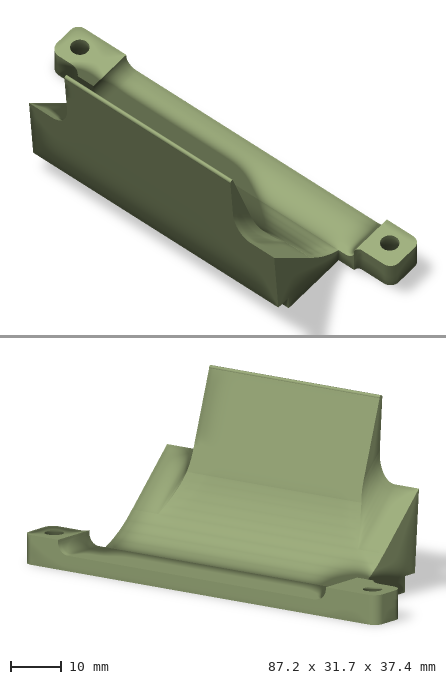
import cadquery as cq
import math

length = 87.2
plate_depth = 10.2
plate_height = 6.0
left_tab_depth = 8.6
right_tab_depth = 9.15
left_back_radius = 1.9
left_front_radius = 2.4
right_corner_radius = 2.1
left_relief_start = 5.6
left_relief_end = 8.5
right_relief_radius = 1.05
hole_diameter = 3.8
hole_back_offset = 4.3
hole_left = 4.2
hole_right = 82.7

channel_floor = 3.1
channel_left = 12.5
channel_right = 78.5
channel_left_radius = 2.6
channel_right_radius = 2.35

body_left = 12.5
body_width = 62.1
body_center = body_left + body_width / 2
foot_depth = 25.8
step_height = 3.3
step_depth = 29.0
curve_mid = (-18.9, 9.15)
curve_end = (-24.15, 17.1)
tip_back = (-30.8, 36.9)
tip_top = (-31.3, 37.4)
tip_front = (-31.65, 36.8)

tower_width = 42.0
notch_front_height = 20.1
notch_angle = 44.0
notch_radius = 4.1
notch_height = 26.2
notch_side_margin = 4.4
notch_overrun = 26.2


def make_plate():
    """Plate with rounded tabs and concave reliefs beside both tabs."""
    relief_run = left_relief_end - left_relief_start
    relief_rise = plate_depth - left_tab_depth
    relief_radius = (relief_run**2 + relief_rise**2) / (2 * relief_rise)
    right_relief_end = channel_right + right_relief_radius
    outline = (
        cq.Workplane("XY")
        .moveTo(left_back_radius, 0)
        .lineTo(length - right_corner_radius, 0)
        .radiusArc((length, -right_corner_radius), right_corner_radius)
        .lineTo(length, right_corner_radius - right_tab_depth)
        .radiusArc((length - right_corner_radius, -right_tab_depth), right_corner_radius)
        .lineTo(right_relief_end, -right_tab_depth)
        .radiusArc((channel_right, -plate_depth), -right_relief_radius)
        .lineTo(left_relief_end, -plate_depth)
        .radiusArc((left_relief_start, -left_tab_depth), -relief_radius)
        .lineTo(left_front_radius, -left_tab_depth)
        .radiusArc((0, left_front_radius - left_tab_depth), left_front_radius)
        .lineTo(0, -left_back_radius)
        .radiusArc((left_back_radius, 0), left_back_radius)
        .close()
    )
    return outline.extrude(plate_height)


def make_channel():
    """Cutter for the channel, with both lower corners rounded."""
    cutter = cq.Workplane("XY").box(
        channel_right - channel_left, plate_depth, plate_height, centered=False
    ).translate((channel_left, -plate_depth, channel_floor))
    cutter = cutter.edges("|Y and <X and <Z").fillet(channel_left_radius)
    return cutter.edges("|Y and >X and <Z").fillet(channel_right_radius)


def make_deflector():
    """Side profile in Y and Z, extruded across the body width."""
    return (
        cq.Workplane("YZ", origin=(body_left, 0, 0))
        .moveTo(-plate_depth, 0)
        .lineTo(-plate_depth, channel_floor)
        .threePointArc(curve_mid, curve_end)
        .lineTo(*tip_back)
        .threePointArc(tip_top, tip_front)
        .lineTo(-step_depth, step_height)
        .lineTo(-foot_depth, step_height)
        .lineTo(-foot_depth, 0)
        .close()
        .extrude(body_width)
    )


def make_notch(side):
    """Inclined cutter on one side (-1 left, 1 right) with a rounded inner corner."""
    front_run = (-tip_front[0] - step_depth) / (tip_front[1] - step_height)
    front_depth = step_depth + front_run * (notch_front_height - step_height)
    angle = math.radians(notch_angle)
    plane = cq.Plane(
        origin=(body_center, -front_depth, notch_front_height),
        xDir=(1, 0, 0),
        normal=(0, -math.cos(angle), math.sin(angle)),
    )
    floor_length = (front_depth + curve_mid[0]) / math.cos(angle)
    inner = tower_width / 2
    outer = body_width / 2 + notch_side_margin
    return (
        cq.Workplane(plane)
        .workplane(offset=-floor_length)
        .moveTo(side * outer, 0)
        .lineTo(side * (inner + notch_radius), 0)
        .radiusArc((side * inner, notch_radius), side * notch_radius)
        .lineTo(side * inner, notch_height)
        .lineTo(side * outer, notch_height)
        .close()
        .extrude(floor_length + notch_overrun)
    )


holes = (
    cq.Workplane("XY")
    .pushPoints([(hole_left, -hole_back_offset), (hole_right, -hole_back_offset)])
    .circle(hole_diameter / 2)
    .extrude(plate_height)
)

deflector = make_deflector()
for side in (-1, 1):
    deflector = deflector.cut(make_notch(side))

result = make_plate().cut(make_channel()).cut(holes).union(deflector)